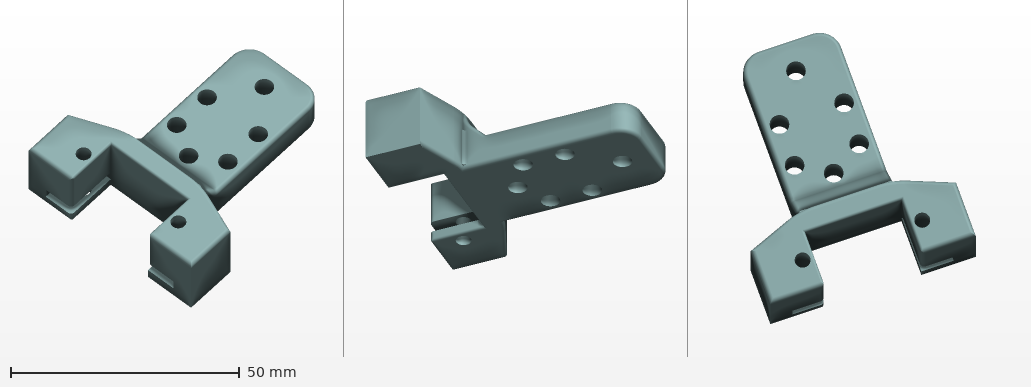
import cadquery as cq
import math

length = 58.0
width = 47.6
height = 15.6
round_radius = 1.0
small_round = 0.6
tolerance = 0.005

notch_width = 22.4
notch_depth = 13.0
side_depth = 13.0
body_depth = 18.15
slant_run = 12.95
back_blend_radius = 18.0

arm_width = 22.4
arm_thickness = 8.05
arm_corner_radius = 5.0
gusset_run = 4.8
gusset_arc_run = 1.75
gusset_toe_radius = 1.0

slot_width = 37.4
slot_bottom = 2.5
slot_height = 2.55

leg_hole_diameter = 3.5
leg_hole_x = 13.85
leg_hole_y = 7.0
arm_hole_diameter = 4.3
arm_hole_x = 7.5
arm_center_holes_y = (26.0, 50.9)
arm_side_holes_y = (30.5, 40.5)

half_width = width / 2
half_notch = notch_width / 2
half_arm = arm_width / 2


def make_envelope():
    """Body outline without the notch, rounded along its outer edges."""
    shoulder_x = half_width - slant_run
    envelope = (
        cq.Workplane("XY")
        .polyline([
            (-half_width, 0), (half_width, 0), (half_width, side_depth),
            (shoulder_x, body_depth), (-shoulder_x, body_depth), (-half_width, side_depth),
        ])
        .close()
        .extrude(height)
    )
    envelope = envelope.edges("|Z and >Y").fillet(back_blend_radius)
    envelope = envelope.faces("<Z or >Z").edges().fillet(round_radius)

    square_foot = cq.Workplane("XY").box(half_width, side_depth, round_radius, centered=False)
    return envelope.union(square_foot)


def make_notched_block():
    """Oversized block whose front notch has its upper and lower edges rounded."""
    block = cq.Workplane("XY").box(
        2 * width, 2 * length, height, centered=(True, True, False)
    )
    notch = (
        cq.Workplane("XY")
        .box(notch_width, 2 * length, height, centered=(True, False, False))
        .translate((0, notch_depth - 2 * length, 0))
    )
    block = block.cut(notch)
    rim = cq.selectors.BoxSelector(
        (-half_notch - tolerance, -1.5 * length, height - tolerance),
        (half_notch + tolerance, notch_depth + tolerance, height + tolerance),
    )
    foot = cq.selectors.BoxSelector(
        (-half_notch - tolerance, -1.5 * length, -tolerance),
        (half_notch - tolerance, notch_depth + tolerance, tolerance),
    )
    return block.edges(rim + foot).fillet(small_round)


def leg_corner_waste(side, bottom):
    """Material removed to round the front inner corner of one leg."""
    waste = (
        cq.Workplane("XY", origin=(half_notch, 0, bottom))
        .moveTo(0, round_radius)
        .radiusArc((round_radius, 0), -round_radius)
        .lineTo(0, 0)
        .close()
        .extrude(height - bottom)
    )
    return waste if side > 0 else waste.mirror("YZ")


def make_body():
    """Fork with slanted shoulders; the right corner is rounded above the slot only."""
    body = make_envelope().intersect(make_notched_block())
    body = body.cut(leg_corner_waste(-1, 0))
    return body.cut(leg_corner_waste(1, slot_bottom + slot_height))


def make_arm():
    """Arm with rounded end corners, rising to the body through the gusset."""
    toe_y = body_depth + gusset_run
    arc_y = body_depth + gusset_arc_run
    arc_z = arm_thickness + gusset_run - gusset_arc_run
    arm = (
        cq.Workplane("YZ")
        .moveTo(notch_depth + round_radius, 0)
        .lineTo(length, 0)
        .lineTo(length, arm_thickness)
        .lineTo(toe_y, arm_thickness)
        .lineTo(arc_y, arc_z)
        .tangentArcPoint((body_depth, height - round_radius), relative=False)
        .lineTo(notch_depth + round_radius, height - round_radius)
        .close()
        .extrude(half_arm, both=True)
    )
    toe = cq.selectors.NearestToPointSelector((0, toe_y, arm_thickness))
    arm = arm.edges(toe).fillet(gusset_toe_radius)
    arm = arm.edges("|Z and >Y").fillet(arm_corner_radius)
    rounded = arm.edges(cq.selectors.BoxSelector(
        (-half_arm - tolerance, body_depth, arm_thickness - tolerance),
        (half_arm + tolerance, length + tolerance, height),
    ))
    outer = [edge for edge in rounded.vals() if not crosses_arm(edge)]
    foot = arm.faces("<Z").edges("not(<Y)").vals()
    return arm.newObject(outer + foot).fillet(round_radius)


def crosses_arm(edge):
    """True for edges spanning the arm from side to side, except at its far end."""
    spans_width = edge.BoundingBox().xlen > arm_width - tolerance
    return spans_width and edge.Center().y < length - arm_corner_radius


def make_junction(side):
    """Small upright cove where an arm side meets the slanted shoulder."""
    slant = math.atan2(body_depth - side_depth, slant_run)
    half_turn = (math.pi / 2 - slant) / 2
    corner_y = side_depth + (half_width - half_arm) * math.tan(slant)
    reach = round_radius * math.tan(half_turn)
    inset = 2 * round_radius
    cove_top = arm_thickness + gusset_run - gusset_arc_run - round_radius
    start = (half_arm, corner_y + reach)
    middle = (
        half_arm + round_radius * (1 - math.cos(half_turn)),
        corner_y + reach - round_radius * math.sin(half_turn),
    )
    end = (half_arm + reach * math.cos(slant), corner_y - reach * math.sin(slant))
    cove = (
        cq.Workplane("XY", origin=(0, 0, round_radius))
        .moveTo(*start)
        .threePointArc(middle, end)
        .lineTo(half_arm - inset, corner_y - inset)
        .lineTo(half_arm - inset, corner_y + reach)
        .close()
        .extrude(cove_top - round_radius)
    )
    return cove if side > 0 else cove.mirror("YZ")


def upright_holes(diameter, points):
    """Cylinders of full part height that cut holes at the given points."""
    return cq.Workplane("XY").pushPoints(points).circle(diameter / 2).extrude(height)


result = make_body().union(make_arm())
for side in (-1, 1):
    result = result.union(make_junction(side))

slot = (
    cq.Workplane("XY")
    .box(slot_width, notch_depth, slot_height, centered=(True, False, False))
    .translate((0, 0, slot_bottom))
)
result = result.cut(slot)

arm_holes = [(0, y) for y in arm_center_holes_y]
arm_holes += [(x, y) for x in (-arm_hole_x, arm_hole_x) for y in arm_side_holes_y]
result = result.cut(upright_holes(arm_hole_diameter, arm_holes))

result = result.cut(upright_holes(leg_hole_diameter, [(-leg_hole_x, leg_hole_y)]))
blind_hole = upright_holes(leg_hole_diameter, [(leg_hole_x, leg_hole_y)])
result = result.cut(blind_hole.translate((0, 0, slot_bottom)))